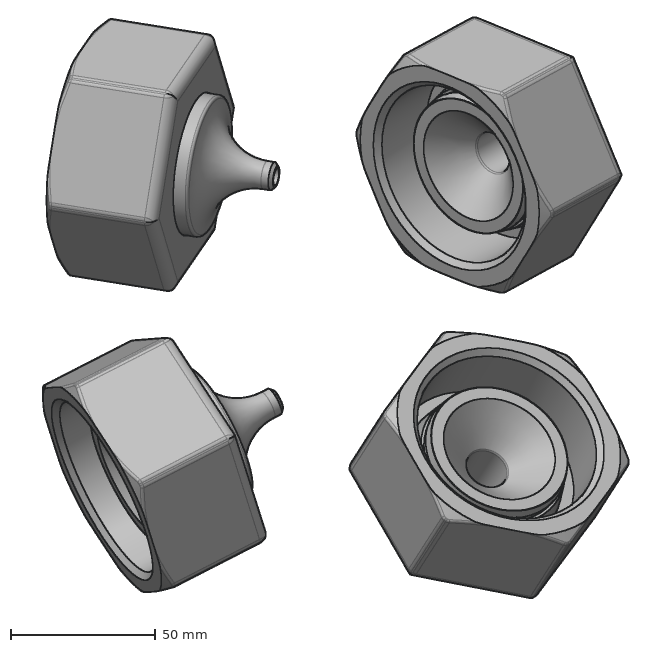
import cadquery as cq
import math

total_length = 70.23

across_flats = 79.0
across_corners = 90.06
nut_length = 41.0
corner_fillet = 2.5
end_fillet = 4.0
lead_circle_radius = 41.0
lead_angle = 30.0
lead_edge_fillet = 1.2
lead_cone_overrun = 5.0
bore_diameter = 65.83
bore_depth = 25.7
bore_chamfer = 2.1
passage_diameter = 50.26

ring_diameter = 57.0
ring_small_diameter = 50.26
ring_half_angle = 12.0
groove_start_x = 13.3
groove_end_x = 16.4
groove_floor_radius = 25.4
ring_slope = math.tan(math.radians(ring_half_angle))
ring_face_x = bore_depth - (ring_diameter - ring_small_diameter) / 2 / ring_slope

nozzle_diameter = 49.89
nozzle_face_x = ring_face_x
tip_diameter = 10.0
tip_land = 4.0
tip_chamfer = 1.25
flare_radius = 20.0
shoulder_fillet = 1.0
funnel_mouth_radius = 20.5
throat_diameter = 15.0
throat_x = 22.8
throat_edge_fillet = 1.0
throat_end_x = 48.0
drill_point_angle = 118.0
outlet_diameter = 6.04

pick_reach = 60.0


def revolve_about_x(profile):
    return profile.close().revolve(360, (0, 0, 0), (1, 0, 0))


def edges_between(start_x, end_x):
    return cq.selectors.BoxSelector(
        (start_x, -pick_reach, -pick_reach), (end_x, pick_reach, pick_reach)
    )


def make_hexagon():
    """Hexagonal prism with blunted corners and a rounded rim at the closed end."""
    sharp_radius = across_flats / 2 / math.cos(math.pi / 6)
    corner_cut = (sharp_radius - across_corners / 2) * 2
    hexagon = cq.Workplane("YZ").polygon(6, 2 * sharp_radius).extrude(nut_length)
    hexagon = hexagon.edges("|X").chamfer(corner_cut)

    for index in range(3):
        slab = (
            cq.Workplane("XZ")
            .rect(2 * nut_length, across_flats)
            .extrude(across_corners, both=True)
            .edges(">X and |Y")
            .fillet(end_fillet)
            .rotate((0, 0, 0), (1, 0, 0), 60 * index)
        )
        hexagon = hexagon.intersect(slab)

    return hexagon.edges("|X").fillet(corner_fillet)


def make_lead_cone():
    """Envelope that cuts the conical lead-in across the corners at the open end."""
    sharp_radius = across_flats / 2 / math.cos(math.pi / 6)
    rise = sharp_radius - lead_circle_radius + lead_cone_overrun
    outer_radius = lead_circle_radius + rise
    profile = (
        cq.Workplane("XY")
        .moveTo(0, 0)
        .lineTo(0, lead_circle_radius)
        .lineTo(rise * math.tan(math.radians(lead_angle)), outer_radius)
        .lineTo(nut_length, outer_radius)
        .lineTo(nut_length, 0)
    )
    return revolve_about_x(profile)


def make_nut():
    nut = make_hexagon().intersect(make_lead_cone())

    lead_edges = edges_between(0.3, nut_length / 2)
    nut = nut.faces("%CONE").edges(lead_edges).fillet(lead_edge_fillet)

    bore_radius = bore_diameter / 2
    bore = cq.Workplane("YZ").circle(bore_radius).extrude(bore_depth)
    passage = cq.Workplane("YZ").circle(passage_diameter / 2).extrude(nut_length)
    mouth = revolve_about_x(
        cq.Workplane("XY")
        .moveTo(0, 0)
        .lineTo(0, bore_radius + bore_chamfer)
        .lineTo(bore_chamfer, bore_radius)
        .lineTo(bore_chamfer, 0)
    )
    return nut.cut(bore).cut(passage).cut(mouth)


def make_nozzle():
    outer_radius = nozzle_diameter / 2
    tip_radius = tip_diameter / 2
    throat_radius = throat_diameter / 2
    outlet_radius = outlet_diameter / 2
    land_x = total_length - tip_land
    shoulder_x = land_x - flare_radius
    point_slope = math.tan(math.radians(drill_point_angle / 2))
    point_end_x = throat_end_x + (throat_radius - outlet_radius) / point_slope

    profile = (
        cq.Workplane("XY")
        .moveTo(nozzle_face_x, funnel_mouth_radius)
        .lineTo(nozzle_face_x, outer_radius)
        .lineTo(shoulder_x - shoulder_fillet, outer_radius)
        .radiusArc((shoulder_x, outer_radius - shoulder_fillet), shoulder_fillet)
        .radiusArc((land_x, tip_radius), -flare_radius)
        .lineTo(total_length - tip_chamfer, tip_radius)
        .lineTo(total_length, tip_radius - tip_chamfer)
        .lineTo(total_length, outlet_radius)
        .lineTo(point_end_x, outlet_radius)
        .lineTo(throat_end_x, throat_radius)
        .lineTo(throat_x, throat_radius)
    )
    nozzle = revolve_about_x(profile)

    throat_edge = edges_between(throat_x - 1, throat_x + 1)
    return nozzle.edges("%CIRCLE").edges(throat_edge).fillet(throat_edge_fillet)


def taper_radius(x):
    return ring_small_diameter / 2 + (x - ring_face_x) * ring_slope


def make_ring():
    """Tapered ring around the nozzle with a groove in its conical face."""
    inner_radius = nozzle_diameter / 2
    profile = (
        cq.Workplane("XY")
        .moveTo(ring_face_x, inner_radius)
        .lineTo(ring_face_x, ring_small_diameter / 2)
        .lineTo(groove_start_x, taper_radius(groove_start_x))
        .lineTo(groove_start_x, groove_floor_radius)
        .lineTo(groove_end_x, groove_floor_radius)
        .lineTo(groove_end_x, taper_radius(groove_end_x))
        .lineTo(bore_depth, ring_diameter / 2)
        .lineTo(bore_depth, inner_radius)
    )
    return revolve_about_x(profile)


nut = make_nut()
nozzle = make_nozzle()
ring = make_ring()

result = cq.Compound.makeCompound([nut.val(), nozzle.val(), ring.val()])